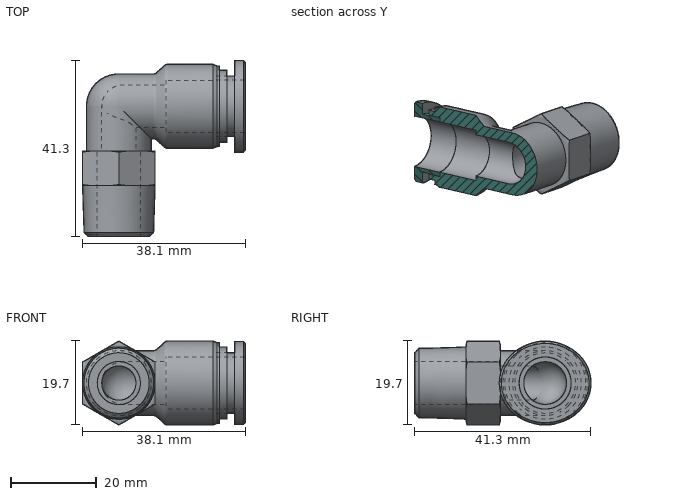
import cadquery as cq
import math

ORIGIN = (0, 0, 0)
TUBE_DIRECTION = (1, 0, 0)
THREAD_DIRECTION = (0, -1, 0)

elbow_radius = 15.2 / 2
socket_radius = 19.7 / 2
rim_radius = 18.9 / 2
collar_radius = 16.9 / 2
flare_start_x = 8.5
flare_end_x = 11.0
flare_blend_radius = 1.0
rim_taper_start_x = 22.0
rim_start_x = 23.0
rim_end_x = 23.5
collar_end_x = 25.25

thread_side_bore_radius = 8.0 / 2
tube_side_bore_radius = 10.0 / 2
tube_bore_start_x = tube_side_bore_radius - thread_side_bore_radius
tube_seat_x = flare_end_x
tube_socket_radius = 12.15 / 2

sleeve_radius = 14.2 / 2
release_bore_radius = 12.2 / 2
sleeve_start_x = rim_taper_start_x
flange_start_x = 27.1
flange_end_x = 29.6
flange_half_width = 21.5 / 2
flange_half_height = 19.5 / 2
flange_chamfer = 0.5

hex_across_flats = 17.0
hex_start = 10.5
hex_length = 8.0
hex_chamfer_radius = 9.0
hex_chamfer_angle = math.radians(15)
plug_length = 12.0
plug_large_radius = 17.0 / 2
plug_diameter_taper = 1 / 16
plug_tip_radius = 14.2 / 2
plug_chamfer_length = 1.0
nipple_bore_radius = 10.1 / 2

hex_end = hex_start + hex_length
plug_end = hex_end + plug_length
plug_small_radius = plug_large_radius - plug_diameter_taper / 2 * (plug_length - plug_chamfer_length)
hex_corner_radius = hex_across_flats / 2 / math.cos(math.pi / 6)


def rod(radius, start, end, direction=TUBE_DIRECTION):
    """Solid cylinder between two distances from the origin along the tube or thread direction."""
    axis = cq.Vector(*direction)
    return cq.Workplane(cq.Solid.makeCylinder(radius, end - start, axis * start, axis))


def ball_sector(radius, center_x, sweep):
    """Part of a ball on the tube axis, swept about Z from the +Y direction towards -X and on to -Y."""
    ball = cq.Solid.makeSphere(radius, angleDegrees1=-90, angleDegrees2=90, angleDegrees3=sweep)
    return cq.Workplane(ball).rotate((0, 0, 0), (0, 0, 1), 90).translate((center_x, 0, 0))


def revolve_on_tube_axis(points):
    """Turn an (x, radius) outline about the tube axis."""
    return cq.Workplane("XY").polyline(points).close().revolve(360, ORIGIN, TUBE_DIRECTION)


def revolve_on_thread_axis(points):
    """Turn a (radius, distance along -Y) outline about the thread axis."""
    outline = [(radius, -distance) for radius, distance in points]
    return cq.Workplane("XY").polyline(outline).close().revolve(360, ORIGIN, THREAD_DIRECTION)


def make_elbow():
    barrel = revolve_on_tube_axis([
        (0, 0),
        (0, elbow_radius),
        (flare_start_x, elbow_radius),
        (flare_end_x, socket_radius),
        (rim_taper_start_x, socket_radius),
        (rim_start_x, rim_radius),
        (rim_end_x, rim_radius),
        (rim_end_x, collar_radius),
        (collar_end_x, collar_radius),
        (collar_end_x, 0),
    ])
    margin = 0.1
    flare_centers = cq.selectors.BoxSelector(
        (flare_start_x - margin, -margin, -margin),
        (flare_end_x + margin, margin, margin),
    )
    barrel = barrel.edges("%CIRCLE").edges(flare_centers).fillet(flare_blend_radius)

    leg = rod(elbow_radius, 0, hex_start, THREAD_DIRECTION)
    outside = barrel.union(leg).union(ball_sector(elbow_radius, 0, 90))

    passages = (
        rod(tube_side_bore_radius, tube_bore_start_x, tube_seat_x)
        .union(ball_sector(tube_side_bore_radius, tube_bore_start_x, 180))
        .union(rod(thread_side_bore_radius, 0, hex_start, THREAD_DIRECTION))
        .union(rod(tube_socket_radius, tube_seat_x, sleeve_start_x))
        .union(rod(sleeve_radius, sleeve_start_x, collar_end_x))
    )
    return outside.cut(passages).solids()


def make_release_ring():
    flange = (
        cq.Workplane("YZ", origin=(flange_start_x, 0, 0))
        .ellipse(flange_half_width, flange_half_height)
        .extrude(flange_end_x - flange_start_x)
        .faces(">X").edges().chamfer(flange_chamfer)
    )
    sleeve = rod(sleeve_radius, sleeve_start_x, flange_start_x)
    return flange.union(sleeve).cut(rod(release_bore_radius, sleeve_start_x, flange_end_x)).solids()


def make_nipple():
    hexagon = (
        cq.Workplane("XZ", origin=(0, -hex_start, 0))
        .transformed(rotate=(0, 0, 90))
        .polygon(6, 2 * hex_corner_radius)
        .extrude(hex_length)
    )
    corner_drop = (hex_corner_radius - hex_chamfer_radius) * math.tan(hex_chamfer_angle)
    turned_blank = revolve_on_thread_axis([
        (0, hex_start),
        (hex_chamfer_radius, hex_start),
        (hex_corner_radius, hex_start + corner_drop),
        (hex_corner_radius, hex_end - corner_drop),
        (hex_chamfer_radius, hex_end),
        (0, hex_end),
    ])
    plug = revolve_on_thread_axis([
        (0, hex_end),
        (plug_large_radius, hex_end),
        (plug_small_radius, plug_end - plug_chamfer_length),
        (plug_tip_radius, plug_end),
        (0, plug_end),
    ])
    bore = rod(nipple_bore_radius, hex_start, plug_end, THREAD_DIRECTION)
    return hexagon.intersect(turned_blank).union(plug).cut(bore).solids()


elbow = make_elbow()
release_ring = make_release_ring()
nipple = make_nipple()

result = cq.Compound.makeCompound([elbow.val(), release_ring.val(), nipple.val()])